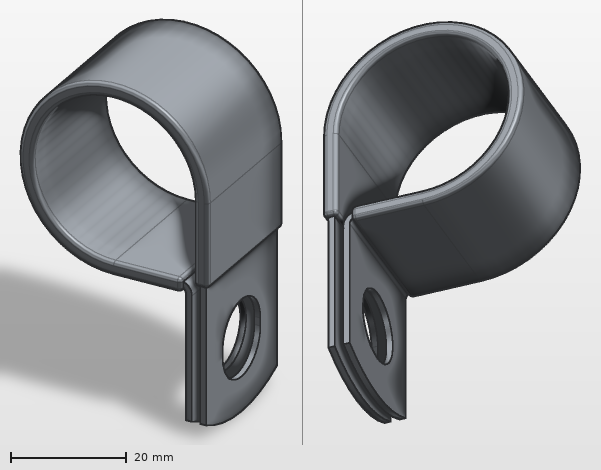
import cadquery as cq
import math

strap_thickness = 1.2
bend_inner_radius = 1.2
lower_tab_x = 13.9
tab_bottom_z = -46.8
tab_tip_rise = 3.1
hole_diameter = 13.5
slot_length = 15.05
hole_to_tip = 14.35

cushion_width = 27.0
cushion_outer_radius = 18.65
cushion_cover = 0.8
lower_leg_end_x = 13.35
upper_leg_end_z = -16.7

strap_width = cushion_width - 2 * cushion_cover
strap_outer_radius = cushion_outer_radius - cushion_cover
strap_inner_radius = strap_outer_radius - strap_thickness
cushion_inner_radius = strap_inner_radius - cushion_cover
bend_outer_radius = bend_inner_radius + strap_thickness
bend_center_x = lower_tab_x - bend_inner_radius
bend_center_z = -strap_outer_radius - bend_inner_radius
hole_z = tab_bottom_z + hole_to_tip
DIAGONAL = math.sqrt(0.5)


def loop_band(outer_radius, inner_radius, lower_end_x, upper_end_z, width):
    """Three-quarter ring with a straight leg tangent to each end, centred on Y."""
    return (
        cq.Workplane("XZ")
        .moveTo(lower_end_x, -outer_radius)
        .lineTo(0, -outer_radius)
        .threePointArc((-outer_radius * DIAGONAL, outer_radius * DIAGONAL), (outer_radius, 0))
        .lineTo(outer_radius, upper_end_z)
        .lineTo(inner_radius, upper_end_z)
        .lineTo(inner_radius, 0)
        .threePointArc((-inner_radius * DIAGONAL, inner_radius * DIAGONAL), (0, -inner_radius))
        .lineTo(lower_end_x, -inner_radius)
        .close()
        .extrude(width / 2, both=True)
    )


def make_cushion():
    """Cushion band, rounded along its sides and both ends until the strap thickness is left flat."""
    band = loop_band(
        cushion_outer_radius, cushion_inner_radius, lower_leg_end_x, upper_leg_end_z, cushion_width
    )
    middle_radius = (strap_outer_radius + strap_inner_radius) / 2
    lower_end_center = (lower_leg_end_x, 0, -middle_radius)
    upper_end_center = (middle_radius, 0, upper_leg_end_z)
    rounded_edges = band.faces("|Y").edges()
    for end_center in (lower_end_center, upper_end_center):
        end_face = band.faces(cq.selectors.NearestToPointSelector(end_center))
        rounded_edges = rounded_edges.add(end_face.edges("|Y"))
    return rounded_edges.fillet(cushion_cover)


def make_bend():
    """Quarter bend that turns the lower leg of the strap down into its tab."""
    inner_reach = bend_inner_radius * DIAGONAL
    outer_reach = bend_outer_radius * DIAGONAL
    return (
        cq.Workplane("XZ", origin=(bend_center_x, 0, bend_center_z))
        .moveTo(0, bend_outer_radius)
        .threePointArc((outer_reach, outer_reach), (bend_outer_radius, 0))
        .lineTo(bend_inner_radius, 0)
        .threePointArc((inner_reach, inner_reach), (0, bend_inner_radius))
        .close()
        .extrude(strap_width / 2, both=True)
    )


def make_tab(inner_x, top_z):
    """Flat tab with an arched tip, one strap thickness deep along +X."""
    half_width = strap_width / 2
    corner_z = tab_bottom_z + tab_tip_rise
    return (
        cq.Workplane("YZ", origin=(inner_x, 0, 0))
        .moveTo(-half_width, top_z)
        .lineTo(-half_width, corner_z)
        .threePointArc((0, tab_bottom_z), (half_width, corner_z))
        .lineTo(half_width, top_z)
        .close()
        .extrude(strap_thickness)
    )


def hole_sketch(inner_x):
    """Sketch plane of a tab, centred on its bolt opening."""
    return cq.Workplane("YZ", origin=(inner_x, 0, hole_z))


strap_loop = loop_band(
    strap_outer_radius, strap_inner_radius, bend_center_x, upper_leg_end_z, strap_width
)
upper_tab_x = strap_inner_radius
bolt_hole = hole_sketch(lower_tab_x).circle(hole_diameter / 2).extrude(strap_thickness)
bolt_slot = hole_sketch(upper_tab_x).slot2D(slot_length, hole_diameter, 90).extrude(strap_thickness)
lower_tab = make_tab(lower_tab_x, bend_center_z).cut(bolt_hole)
upper_tab = make_tab(upper_tab_x, upper_leg_end_z).cut(bolt_slot)

result = make_cushion().union(strap_loop).union(make_bend()).union(lower_tab).union(upper_tab)